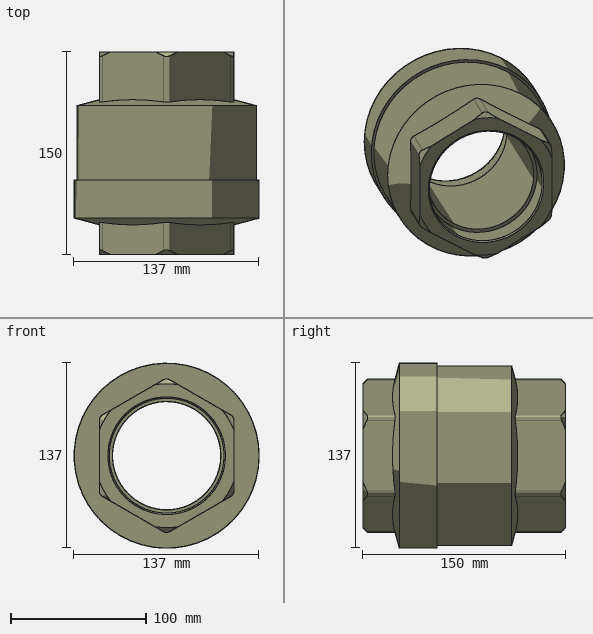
import cadquery as cq
import math

length = 150.0
front_end = -length / 2
back_end = length / 2

across_flats = 99.6
hex_edge_radius = 4.8
end_face_radius = 53.2
bevel_slope = math.tan(math.radians(45))

collar_radius = 137.0 / 2
body_radius = 133.0 / 2
collar_front = -48.0
collar_back = -20.0
body_back = 35.1
shoulder_slope = math.tan(math.radians(15))

bore_radius = 80.0 / 2
socket_radius = 84.9 / 2
socket_depth = 21.6
mouth_chamfer = 1.0


def revolve_about_y(points):
    """Revolve a closed (radius, y) outline around the Y axis."""
    return cq.Workplane("XY").polyline(points).close().revolve(360, (0, 0), (0, 1))


def make_hex_bar():
    """Full-length hexagon, corners up and down in Z, with rounded edges and bevelled ends."""
    corner_radius = across_flats / 2 / math.cos(math.radians(30))
    corners = [
        (corner_radius * math.sin(math.radians(a)), corner_radius * math.cos(math.radians(a)))
        for a in range(0, 360, 60)
    ]
    bar = cq.Workplane("XZ").polyline(corners).close().extrude(length / 2, both=True)
    bar = bar.edges("|Y").fillet(hex_edge_radius)
    bevel_depth = (corner_radius - end_face_radius) * bevel_slope
    envelope = revolve_about_y([
        (0, front_end),
        (end_face_radius, front_end),
        (corner_radius, front_end + bevel_depth),
        (corner_radius, back_end - bevel_depth),
        (end_face_radius, back_end),
        (0, back_end),
    ])
    return bar.intersect(envelope)


def make_body():
    """Collar and body cylinders with shallow conical shoulders, which end inside the hexagon."""
    inner_radius = socket_radius
    front_rise = (collar_radius - inner_radius) * shoulder_slope
    back_rise = (body_radius - inner_radius) * shoulder_slope
    return revolve_about_y([
        (0, collar_front - front_rise),
        (inner_radius, collar_front - front_rise),
        (collar_radius, collar_front),
        (collar_radius, collar_back),
        (body_radius, collar_back),
        (body_radius, body_back),
        (inner_radius, body_back + back_rise),
        (0, body_back + back_rise),
    ])


def make_bore():
    """Through bore with a wider socket and a chamfered mouth at each end."""
    mouth_radius = socket_radius + mouth_chamfer
    return revolve_about_y([
        (0, front_end),
        (mouth_radius, front_end),
        (socket_radius, front_end + mouth_chamfer),
        (socket_radius, front_end + socket_depth),
        (bore_radius, front_end + socket_depth),
        (bore_radius, back_end - socket_depth),
        (socket_radius, back_end - socket_depth),
        (socket_radius, back_end - mouth_chamfer),
        (mouth_radius, back_end),
        (0, back_end),
    ])


result = make_hex_bar().union(make_body()).cut(make_bore())